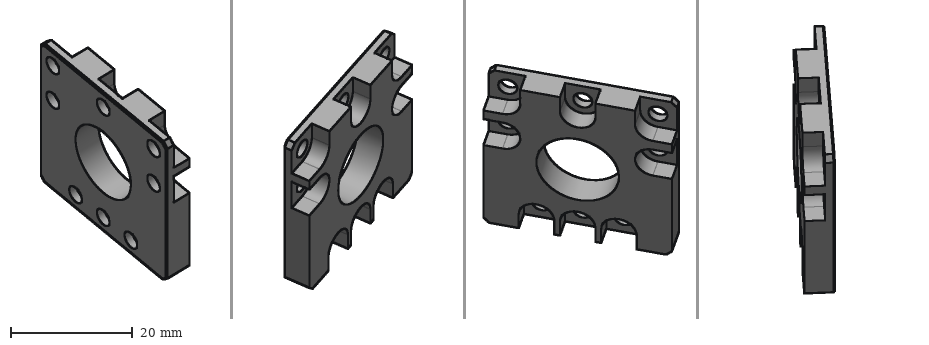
import cadquery as cq

side = 32.0
thickness = 5.0
corner_chamfer = 1.0
front_edge_chamfer = 0.25

bore_diameter = 14.0

hole_diameter = 3.2
recess_width = 6.0
web_thickness = 1.6
hole_edge_distance = 3.25
side_hole_height = 4.75
bottom_hole_pitch = 7.0

half_side = side / 2
front_y = -thickness / 2
web_back_y = front_y + web_thickness
recess_depth = thickness - web_thickness
channel_length = 2 * hole_edge_distance
hole_offset = half_side - hole_edge_distance

UP, DOWN, LEFT, RIGHT = (0, 1), (0, -1), (-1, 0), (1, 0)
screw_holes = [
    ((-hole_offset, hole_offset), [UP, LEFT]),
    ((0, hole_offset), [UP]),
    ((hole_offset, hole_offset), [UP, RIGHT]),
    ((-hole_offset, side_hole_height), [LEFT]),
    ((hole_offset, side_hole_height), [RIGHT]),
    ((-bottom_hole_pitch, -hole_offset), [DOWN]),
    ((0, -hole_offset), [DOWN]),
    ((bottom_hole_pitch, -hole_offset), [DOWN]),
]


def make_plate():
    """Square plate with chamfered corners and a bevelled front edge."""
    plate = cq.Workplane("XY").box(side, thickness, side)
    plate = plate.edges("|Y").chamfer(corner_chamfer)
    return plate.faces("<Y").chamfer(front_edge_chamfer)


def cylinder_along_y(diameter, center, start_y, length):
    """Round cutter that starts at start_y and runs toward +Y."""
    x, z = center
    sketch = cq.Workplane("XZ", origin=(x, start_y, z)).circle(diameter / 2)
    return sketch.extrude(-length)


def open_channel(center, direction):
    """Straight channel from a hole centre out past the plate edge."""
    x, z = center
    dx, dz = direction
    size_x = channel_length if dx else recess_width
    size_z = channel_length if dz else recess_width
    channel = cq.Workplane("XY").box(size_x, recess_depth, size_z)
    return channel.translate((
        x + dx * channel_length / 2,
        web_back_y + recess_depth / 2,
        z + dz * channel_length / 2,
    ))


def cut_screw_hole(part, center, directions):
    """Through hole plus a round-ended recess that is open to the plate edge."""
    part = part.cut(cylinder_along_y(hole_diameter, center, front_y, thickness))
    part = part.cut(cylinder_along_y(recess_width, center, web_back_y, recess_depth))
    for direction in directions:
        part = part.cut(open_channel(center, direction))
    return part


result = make_plate()
result = result.cut(cylinder_along_y(bore_diameter, (0, 0), front_y, thickness))
for hole_center, open_directions in screw_holes:
    result = cut_screw_hole(result, hole_center, open_directions)